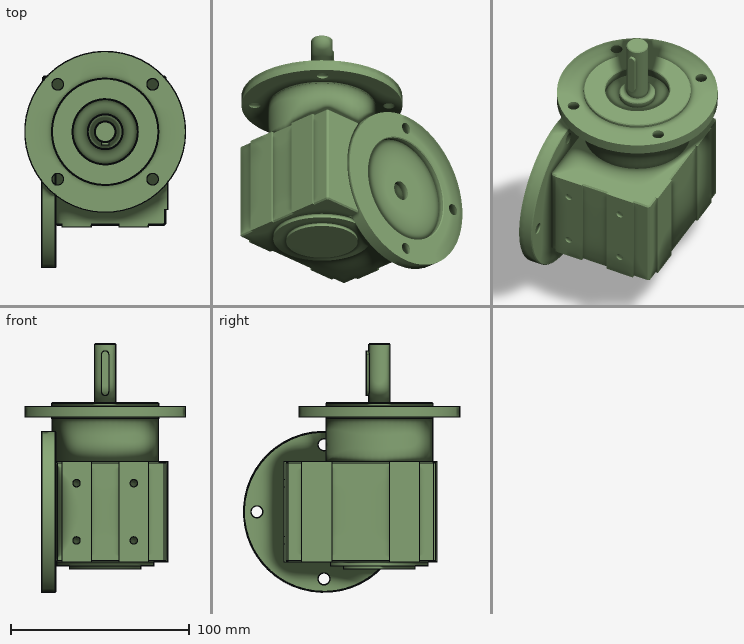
import cadquery as cq
import math


HOUSING_LEFT_X = -35.0
HOUSING_RIGHT_X = 34.0
HOUSING_Y = 83.5
HOUSING_Z = 56.0
HOUSING_CENTER_Y = -10.5
CORNER_CHAMFER = 1.0
RIM_CHAMFER = 0.75
POCKET_CHAMFER = 0.75

PAD_HEIGHT = 1.0
PAD_INNER_X = 7.7
PAD_OUTER_X = 24.2
SIDE_PAD_INNER_Y = 16.0
SIDE_PAD_OUTER_Y = 33.0
PAD_EMBED = 2.0

TAP_DIAMETER = 4.13
TAP_DEPTH = 10.0
TAP_OFFSET = 16.0
DRILL_POINT_ANGLE = 118.0

FLANGE_DIAMETER = 90.0
BOLT_CIRCLE = 75.0
BOLT_HOLE_DIAMETER = 6.5
SPIGOT_DIAMETER = 60.0
EDGE_CHAMFER = 0.5

NECK_DIAMETER = 59.8
HUB_BOTTOM_Z = 52.2
FLANGE_BOTTOM_Z = 53.0
FLANGE_TOP_Z = 59.0
SPIGOT_TOP_Z = 61.0
SEAL_RECESS_DIAMETER = 36.0
SEAL_RECESS_DEPTH = 5.0
SHAFT_COLLAR_DIAMETER = 20.0
SHAFT_COLLAR_HEIGHT = 3.5
SHAFT_DIAMETER = 12.0
SHAFT_TOP_Z = 94.0

KEY_WIDTH = 4.0
KEY_LENGTH = 25.0
KEY_BOTTOM_Z = 65.0
KEY_TOP_Y = 7.5
KEY_SEAT_Y = 3.5

INPUT_AXIS_Y = -31.0
INPUT_OUTER_X = -35.5
INPUT_INNER_X = -27.5
INPUT_RECESS_DEPTH = 4.0
INPUT_BORE_DIAMETER = 11.0
INPUT_CLEARANCE_RADIUS = 46.5
INPUT_BOLT_ANGLES = (90, 180, 270)

COVER_DIAMETER = 54.5
COVER_BOTTOM_Z = -30.25
CAP_DIAMETER = 40.0
CAP_BOTTOM_Z = -32.0


def disc_z(diameter, bottom, top):
    """Upright cylinder on the output axis."""
    return cq.Workplane("XY").workplane(offset=bottom).circle(diameter / 2).extrude(top - bottom)


def disc_x(diameter, start, end, y=INPUT_AXIS_Y, z=0.0):
    """Cylinder parallel to X, on the input axis unless another place is given."""
    return (
        cq.Workplane("YZ", origin=(start, 0, 0))
        .center(y, z)
        .circle(diameter / 2)
        .extrude(end - start)
    )


def housing():
    """Chamfered block with a round pocket for the input flange and pads on the +X, +Y and -Y sides."""
    size_x = HOUSING_RIGHT_X - HOUSING_LEFT_X
    body = cq.Workplane("XY").box(size_x, HOUSING_Y, HOUSING_Z)
    body = body.edges("|Z").chamfer(CORNER_CHAMFER)
    body = body.faces("<Z or >Z").edges().chamfer(RIM_CHAMFER)
    body = body.translate(((HOUSING_LEFT_X + HOUSING_RIGHT_X) / 2, HOUSING_CENTER_Y, 0))

    body = body.cut(disc_x(2 * INPUT_CLEARANCE_RADIUS, HOUSING_LEFT_X, INPUT_INNER_X))
    pocket_corner = body.faces("<Y").edges("|Z and <X")
    body = pocket_corner.chamfer(POCKET_CHAMFER)

    pad_depth = PAD_HEIGHT + PAD_EMBED
    pad_shift = (PAD_HEIGHT - PAD_EMBED) / 2
    end_pad = cq.Workplane("XY").box(PAD_OUTER_X - PAD_INNER_X, pad_depth, HOUSING_Z)
    end_pad_x = (PAD_INNER_X + PAD_OUTER_X) / 2
    end_pad_y = HOUSING_Y / 2 + pad_shift
    side_pad = cq.Workplane("XY").box(pad_depth, SIDE_PAD_OUTER_Y - SIDE_PAD_INNER_Y, HOUSING_Z)
    side_pad_x = HOUSING_RIGHT_X + pad_shift
    side_pad_y = (SIDE_PAD_INNER_Y + SIDE_PAD_OUTER_Y) / 2
    for y_sign in (-1, 1):
        for x_sign in (-1, 1):
            place = (x_sign * end_pad_x, HOUSING_CENTER_Y + y_sign * end_pad_y, 0)
            body = body.union(end_pad.translate(place))
        side_place = (side_pad_x, HOUSING_CENTER_Y + y_sign * side_pad_y, 0)
        body = body.union(side_pad.translate(side_place))
    return body


def bottom_cover():
    cover = disc_z(COVER_DIAMETER, COVER_BOTTOM_Z, 0)
    return cover.union(disc_z(CAP_DIAMETER, CAP_BOTTOM_Z, 0))


def tapped_hole(x, z):
    """Blind hole with a drill point, entering from the -Y pads."""
    radius = TAP_DIAMETER / 2
    point_depth = radius / math.tan(math.radians(DRILL_POINT_ANGLE / 2))
    front_y = HOUSING_CENTER_Y - HOUSING_Y / 2 - PAD_HEIGHT
    return (
        cq.Workplane("XY")
        .polyline([(0, 0), (radius, 0), (radius, TAP_DEPTH), (0, TAP_DEPTH + point_depth)])
        .close()
        .revolve(360, (0, 0, 0), (0, 1, 0))
        .translate((x, front_y, z))
    )


def output_flange():
    """Neck, hub, flange and spigot, with a seal recess around the shaft collar."""
    neck = disc_z(NECK_DIAMETER, HOUSING_Z / 2, HUB_BOTTOM_Z)
    hub = disc_z(SPIGOT_DIAMETER, HUB_BOTTOM_Z, FLANGE_BOTTOM_Z)
    flange = disc_z(FLANGE_DIAMETER, FLANGE_BOTTOM_Z, FLANGE_TOP_Z)
    spigot = disc_z(SPIGOT_DIAMETER, FLANGE_BOTTOM_Z, SPIGOT_TOP_Z)
    body = neck.union(hub).union(flange).union(spigot)

    recess_floor_z = SPIGOT_TOP_Z - SEAL_RECESS_DEPTH
    body = body.cut(disc_z(SEAL_RECESS_DIAMETER, recess_floor_z, SPIGOT_TOP_Z))
    body = body.faces(">Z").edges().chamfer(EDGE_CHAMFER)
    collar = disc_z(SHAFT_COLLAR_DIAMETER, recess_floor_z, recess_floor_z + SHAFT_COLLAR_HEIGHT)
    collar = collar.faces(">Z").edges().chamfer(EDGE_CHAMFER)
    body = body.union(collar)

    bolt_holes = (
        cq.Workplane("XY")
        .workplane(offset=FLANGE_BOTTOM_Z)
        .polarArray(BOLT_CIRCLE / 2, 45, 360, 4)
        .circle(BOLT_HOLE_DIAMETER / 2)
        .extrude(FLANGE_TOP_Z - FLANGE_BOTTOM_Z)
    )
    return body.cut(bolt_holes)


def output_shaft():
    """Shaft with a round-ended key on its -Y side."""
    shaft = disc_z(SHAFT_DIAMETER, 0, SHAFT_TOP_Z).faces(">Z").edges().chamfer(EDGE_CHAMFER)
    key = (
        cq.Workplane("XZ", origin=(0, -KEY_SEAT_Y, KEY_BOTTOM_Z + KEY_LENGTH / 2))
        .slot2D(KEY_LENGTH, KEY_WIDTH, 90)
        .extrude(KEY_TOP_Y - KEY_SEAT_Y)
    )
    return shaft.union(key)


def input_flange():
    """Flange on the -X side, with a shallow chamfered recess, a bore and three bolt holes."""
    flange = disc_x(FLANGE_DIAMETER, INPUT_OUTER_X, INPUT_INNER_X)
    flange = flange.faces(">X").edges().chamfer(EDGE_CHAMFER)
    flange = flange.cut(disc_x(SPIGOT_DIAMETER, INPUT_OUTER_X, INPUT_OUTER_X + INPUT_RECESS_DEPTH))
    mouth = flange.faces("<X").edges(cq.selectors.RadiusNthSelector(0))
    flange = mouth.chamfer(EDGE_CHAMFER)

    flange = flange.cut(disc_x(INPUT_BORE_DIAMETER, INPUT_OUTER_X, INPUT_INNER_X))
    for angle in INPUT_BOLT_ANGLES:
        hole_y = INPUT_AXIS_Y + BOLT_CIRCLE / 2 * math.cos(math.radians(angle))
        hole_z = BOLT_CIRCLE / 2 * math.sin(math.radians(angle))
        flange = flange.cut(disc_x(BOLT_HOLE_DIAMETER, INPUT_OUTER_X, INPUT_INNER_X, hole_y, hole_z))
    return flange


def gearbox():
    body = housing().union(bottom_cover()).union(output_flange())
    for x in (-TAP_OFFSET, TAP_OFFSET):
        for z in (-TAP_OFFSET, TAP_OFFSET):
            body = body.cut(tapped_hole(x, z))
    return body.union(output_shaft()).union(input_flange())


result = gearbox()